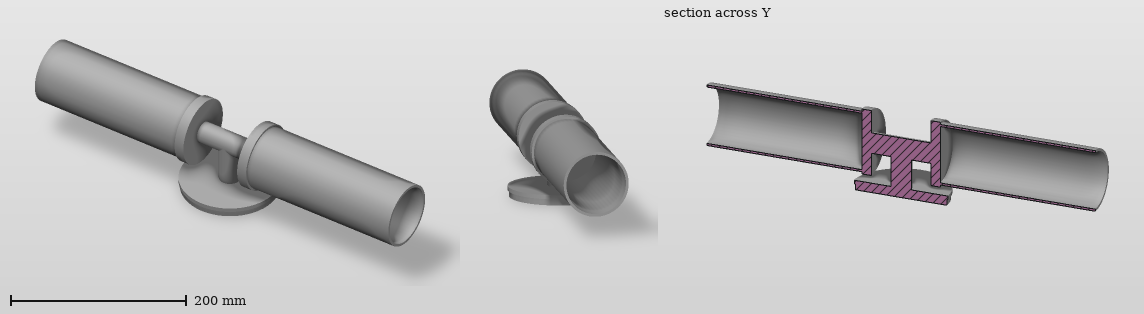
import cadquery as cq

total_length = 485.0
total_height = 101.5
collar_diameter = 80.5
collar_gap = 73.7
collar_width = 12.0
tube_diameter = 75.0
tube_bore = 69.0
rod_diameter = 25.5
plate_diameter = 117.5
plate_thickness = 5.0
foot_diameter = 114.5
foot_thickness = 7.5

axis_height = total_height - collar_diameter / 2
collar_inner_x = collar_gap / 2
collar_outer_x = collar_inner_x + collar_width
tube_length = total_length / 2 - collar_outer_x


def disc_along_x(start, length, diameter):
    """Solid cylinder on the horizontal main axis."""
    return (
        cq.Workplane("YZ", origin=(start, 0, axis_height))
        .circle(diameter / 2)
        .extrude(length)
    )


def make_arm():
    """Open-ended tube on the +X side, closed by its collar."""
    collar = disc_along_x(collar_inner_x, collar_width, collar_diameter)
    tube = disc_along_x(collar_outer_x, tube_length, tube_diameter)
    bore = disc_along_x(collar_outer_x, tube_length, tube_bore)
    return collar.union(tube.cut(bore))


def make_base():
    """Round base: a plate overhanging a slightly smaller foot."""
    foot = cq.Workplane("XY").circle(foot_diameter / 2).extrude(foot_thickness)
    plate = (
        cq.Workplane("XY", origin=(0, 0, foot_thickness))
        .circle(plate_diameter / 2)
        .extrude(plate_thickness)
    )
    return foot.union(plate)


def make_tee():
    """Cross rod and an equal-diameter stem that meets it at the main axis."""
    base_height = foot_thickness + plate_thickness
    rod = disc_along_x(-collar_inner_x, collar_gap, rod_diameter)
    stem = (
        cq.Workplane("XY", origin=(0, 0, base_height))
        .circle(rod_diameter / 2)
        .extrude(axis_height - base_height)
    )
    return rod.union(stem)


right_arm = make_arm()
left_arm = right_arm.mirror("YZ")
result = make_base().union(make_tee()).union(right_arm).union(left_arm)